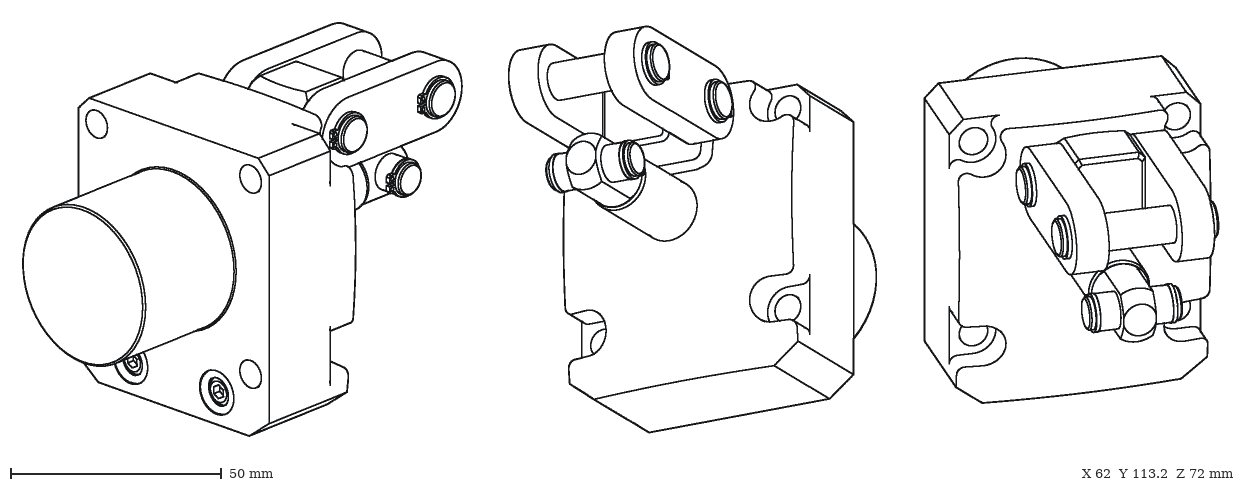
import cadquery as cq
import math


WIDTH = 62.0
TOP_Z = WIDTH / 2
BOTTOM_Z = -41.0
TOP_CHAMFER = 3.5
BOTTOM_CHAMFER_X = 6.5
BOTTOM_CHAMFER_Z = 5.0
DOME_TOP_Y = 34.0
DOME_FLAT_RADIUS = 12.5
DOME_RING_RADIUS = 25.5
DOME_RING_Y = 31.05
DOME_OUTER_ANGLE = 10.4
DOME_OUTER_RADIUS = 60.0

CYLINDER_RADIUS = 19.95
CYLINDER_LENGTH = 31.47
CYLINDER_CHAMFER = 0.5
ROOT_FLARE = 0.35

HOLE_OFFSET = 25.0
HOLE_DIAMETER = 7.0
POCKET_FLOOR_Y = 21.2
POCKET_RADIUS = 5.5
MOUTH_RADIUS = 2.0

PORT_X = 14.0
PORT_Z = -32.8
PORT_RECESS_DEPTH = 1.5
SEAL_OUTER_RADIUS = 5.55
SEAL_INNER_RADIUS = 3.55
SEAL_PROTRUSION = 0.35
PLUG_RADIUS = 2.65
PLUG_FACE_Y = 0.6
SOCKET_FLATS = 3.0
SOCKET_DEPTH = 2.0

LUG_WIDTH = 18.0
LUG_BOTTOM_Z = 11.15
LUG_END_Y = 51.4
LUG_EMBED = 9.0
LUG_SIDE_CHAMFER = 1.6
LUG_BOTTOM_RADIUS = 2.0
LUG_END_CHAMFER = 1.1
LUG_SLOPE_START_Y = 37.0
FLARE_HEIGHT = 1.4
FLARE_TILT = 11.0
FLARE_DEPTH = 3.5
FLARE_OUTER_RADIUS = 26.3

LINK_THICKNESS = 8.0
LINK_RADIUS = 9.0
LINK_Z = 22.02
LINK_FAR_PIN_Y = 72.75
LINK_PITCH = 30.5
LINK_PIN_YS = (LINK_FAR_PIN_Y - LINK_PITCH, LINK_FAR_PIN_Y)

PIN_RADIUS = 4.5
PIN_END_CHAMFER = 0.4
PIN_OVERHANG = 2.4
RING_THICKNESS = 1.0
RING_WALL = 0.65
EAR_LENGTH = 1.9
EAR_HEIGHT = 4.6
EAR_GAP = 0.8
EAR_CHAMFER = 0.5
EAR_HOLE_DIAMETER = 1.0

ROD_RADIUS = 7.5
ROD_SHOULDER_Y = 60.0
ROD_CHAMFER_LENGTH = 1.0
ROD_CHAMFER_DEPTH = 0.4
TONGUE_RADIUS = 7.0
TONGUE_THICKNESS = 8.0
TONGUE_END_Y = 76.95
TONGUE_CHAMFER = 2.9
TONGUE_ROOT_RADIUS = 0.8
ROD_PIN_Y = 70.0
ROD_PIN_END_RADIUS = 4.0
ROD_PIN_HALF_SPAN = LUG_WIDTH / 2


def facing_y(y, x=0.0, z=0.0):
    """Sketch plane at height y with local axes X and Z; negative extrusions run toward +Y."""
    return cq.Workplane("XZ", origin=(x, y, z))


def revolved(points):
    """Solid of revolution about the Y axis from (radius, y) points."""
    return cq.Workplane("XY").polyline(points).close().revolve(360, (0, 0, 0), (0, 1, 0))


def flange_block():
    half = WIDTH / 2
    foot = half - BOTTOM_CHAMFER_X
    outline = [
        (-foot, BOTTOM_Z),
        (foot, BOTTOM_Z),
        (half, BOTTOM_Z + BOTTOM_CHAMFER_Z),
        (half, TOP_Z - TOP_CHAMFER),
        (half - TOP_CHAMFER, TOP_Z),
        (-half + TOP_CHAMFER, TOP_Z),
        (-half, TOP_Z - TOP_CHAMFER),
        (-half, BOTTOM_Z + BOTTOM_CHAMFER_Z),
    ]
    block = facing_y(0).polyline(outline).close().extrude(-DOME_TOP_Y)
    drop = (DOME_OUTER_RADIUS - DOME_RING_RADIUS) * math.tan(math.radians(DOME_OUTER_ANGLE))
    dome = revolved([
        (0, 0),
        (DOME_OUTER_RADIUS, 0),
        (DOME_OUTER_RADIUS, DOME_RING_Y - drop),
        (DOME_RING_RADIUS, DOME_RING_Y),
        (DOME_FLAT_RADIUS, DOME_TOP_Y),
        (0, DOME_TOP_Y),
    ])
    return block.intersect(dome)


def lower_cylinder():
    return revolved([
        (0, 0),
        (CYLINDER_RADIUS + ROOT_FLARE, 0),
        (CYLINDER_RADIUS, -ROOT_FLARE),
        (CYLINDER_RADIUS, -CYLINDER_LENGTH + CYLINDER_CHAMFER),
        (CYLINDER_RADIUS - CYLINDER_CHAMFER, -CYLINDER_LENGTH),
        (0, -CYLINDER_LENGTH),
    ])


def mounting_holes():
    spots = [(x, z) for x in (-HOLE_OFFSET, HOLE_OFFSET) for z in (-HOLE_OFFSET, HOLE_OFFSET)]
    return facing_y(0).pushPoints(spots).circle(HOLE_DIAMETER / 2).extrude(-DOME_TOP_Y)


def side_pocket():
    """Lower pocket on the +X side: a slot open to the side with rounded mouth edges."""
    half = WIDTH / 2
    blend = MOUTH_RADIUS * (1 - math.sqrt(0.5))
    upper = -HOLE_OFFSET + POCKET_RADIUS
    lower = -HOLE_OFFSET - POCKET_RADIUS
    return (
        facing_y(POCKET_FLOOR_Y)
        .moveTo(half, upper + MOUTH_RADIUS)
        .threePointArc((half - blend, upper + blend), (half - MOUTH_RADIUS, upper))
        .lineTo(HOLE_OFFSET, upper)
        .threePointArc((HOLE_OFFSET - POCKET_RADIUS, -HOLE_OFFSET), (HOLE_OFFSET, lower))
        .lineTo(half - MOUTH_RADIUS, lower)
        .threePointArc((half - blend, lower - blend), (half, lower - MOUTH_RADIUS))
        .close()
        .extrude(-DOME_TOP_Y)
    )


def corner_pocket():
    """Upper pocket in the +X +Z corner: open on both faces, with rounded mouth edges.

    The outline is symmetric in X and Z because both outer faces lie half the width from the axis.
    """
    edge = WIDTH / 2
    reach = POCKET_RADIUS + MOUTH_RADIUS
    across = edge - MOUTH_RADIUS - HOLE_OFFSET
    down = math.sqrt(reach**2 - across**2)
    mouth_z = HOLE_OFFSET - down
    share = POCKET_RADIUS / reach
    tangent_x = HOLE_OFFSET + across * share
    tangent_z = HOLE_OFFSET - down * share
    middle = HOLE_OFFSET - POCKET_RADIUS * math.sqrt(0.5)
    turn = math.atan2(down, -across) / 2
    blend_x = edge - MOUTH_RADIUS + MOUTH_RADIUS * math.cos(turn)
    blend_z = mouth_z + MOUTH_RADIUS * math.sin(turn)
    return (
        facing_y(POCKET_FLOOR_Y)
        .moveTo(edge, mouth_z)
        .threePointArc((blend_x, blend_z), (tangent_x, tangent_z))
        .threePointArc((middle, middle), (tangent_z, tangent_x))
        .threePointArc((blend_z, blend_x), (mouth_z, edge))
        .lineTo(edge, edge)
        .close()
        .extrude(-DOME_TOP_Y)
    )


def lug():
    """Chamfered block on the dome with a 45 degree slope down to the dome at the top side."""
    base_y = DOME_TOP_Y - LUG_EMBED
    middle_z = (TOP_Z + LUG_BOTTOM_Z) / 2
    height = TOP_Z - LUG_BOTTOM_Z
    block = (
        facing_y(base_y, z=middle_z)
        .rect(LUG_WIDTH, height)
        .extrude(-(LUG_END_Y - base_y))
        .edges("|Y and >Z")
        .chamfer(LUG_SIDE_CHAMFER)
        .edges("|Y and <Z")
        .fillet(LUG_BOTTOM_RADIUS)
        .faces(">Y")
        .chamfer(LUG_END_CHAMFER)
    )
    slope = LUG_SLOPE_START_Y - base_y
    undercut = revolved([
        (TOP_Z - slope, base_y),
        (TOP_Z + slope, base_y),
        (TOP_Z + slope, LUG_SLOPE_START_Y + slope),
    ])
    return block.cut(undercut)


def lug_flare():
    """45 degree skirt around the lug foot, tilted along with the dome and ended by a round face."""
    tilt = math.radians(FLARE_TILT)
    plane = cq.Plane(
        origin=(0, DOME_TOP_Y + FLARE_HEIGHT, LUG_BOTTOM_Z),
        xDir=(1, 0, 0),
        normal=(0, -math.cos(tilt), -math.sin(tilt)),
    )
    half = LUG_WIDTH / 2
    length = FLARE_OUTER_RADIUS - LUG_BOTTOM_Z
    corner = LUG_BOTTOM_RADIUS
    blend = corner * (1 - math.sqrt(0.5))
    skirt = (
        cq.Workplane(plane)
        .moveTo(half, length)
        .lineTo(half, corner)
        .threePointArc((half - blend, blend), (half - corner, 0))
        .lineTo(-half + corner, 0)
        .threePointArc((-half + blend, blend), (-half, corner))
        .lineTo(-half, length)
        .close()
        .extrude(FLARE_DEPTH, taper=-45)
    )
    limit = facing_y(0).circle(FLARE_OUTER_RADIUS).extrude(-LUG_END_Y)
    return skirt.intersect(limit)


def link(side):
    """Link plate on the given side of the lug (-1 or 1)."""
    start_y, end_y = LINK_PIN_YS
    inner_x = side * LUG_WIDTH / 2
    return (
        cq.Workplane("YZ", origin=(inner_x, (start_y + end_y) / 2, LINK_Z))
        .slot2D(LINK_PITCH + 2 * LINK_RADIUS, 2 * LINK_RADIUS)
        .extrude(side * LINK_THICKNESS)
    )


def retaining_ring(start_x, y, z, pin_radius):
    """Ring around a pin with two ears toward -Y, each with a plier hole."""
    plane = cq.Workplane("YZ", origin=(start_x, y, z))
    ring = plane.circle(pin_radius + RING_WALL).extrude(RING_THICKNESS)
    reach = pin_radius + EAR_LENGTH
    ears = (
        plane.center(-reach / 2, 0)
        .rect(reach, EAR_HEIGHT)
        .extrude(RING_THICKNESS)
        .edges("|X and <Y")
        .chamfer(EAR_CHAMFER)
    )
    gap = plane.center(-reach, 0).rect(2 * EAR_LENGTH, EAR_GAP).extrude(RING_THICKNESS)
    hole_y = -pin_radius - EAR_LENGTH / 2
    hole_z = (EAR_HEIGHT + EAR_GAP) / 4
    holes = (
        plane.pushPoints([(hole_y, -hole_z), (hole_y, hole_z)])
        .circle(EAR_HOLE_DIAMETER / 2)
        .extrude(RING_THICKNESS)
    )
    return ring.union(ears).cut(gap).cut(holes)


def pin(y, z, half_span, end_radius):
    """Pin along X whose ends, outside half_span, have end_radius and carry a retaining ring each."""
    half_length = half_span + PIN_OVERHANG
    shaft = (
        cq.Workplane("YZ", origin=(-half_length, y, z))
        .circle(end_radius)
        .extrude(2 * half_length)
        .faces("<X or >X")
        .chamfer(PIN_END_CHAMFER)
    )
    middle = cq.Workplane("YZ", origin=(-half_span, y, z)).circle(PIN_RADIUS).extrude(2 * half_span)
    shaft = shaft.union(middle)
    for start_x in (-half_span - RING_THICKNESS, half_span):
        shaft = shaft.union(retaining_ring(start_x, y, z, end_radius))
    return shaft


def port_recess(x):
    return facing_y(0, x, PORT_Z).circle(SEAL_OUTER_RADIUS).extrude(-PORT_RECESS_DEPTH)


def port_fittings(x):
    """Seal ring standing proud of the flange, around a chamfered plug with a hexagon socket."""
    tube_radius = (SEAL_OUTER_RADIUS - SEAL_INNER_RADIUS) / 2
    ring_radius = (SEAL_OUTER_RADIUS + SEAL_INNER_RADIUS) / 2
    seal = cq.Workplane(
        cq.Solid.makeTorus(
            ring_radius,
            tube_radius,
            cq.Vector(x, tube_radius - SEAL_PROTRUSION, PORT_Z),
            cq.Vector(0, 1, 0),
        )
    )
    plug = (
        facing_y(PLUG_FACE_Y, x, PORT_Z)
        .circle(SEAL_INNER_RADIUS)
        .extrude(-(PORT_RECESS_DEPTH + tube_radius - PLUG_FACE_Y))
        .faces("<Y")
        .chamfer(PORT_RECESS_DEPTH - PLUG_FACE_Y, SEAL_INNER_RADIUS - PLUG_RADIUS)
    )
    return seal.union(plug)


def port_socket(x):
    across_corners = SOCKET_FLATS / math.cos(math.pi / 6)
    return (
        facing_y(PLUG_FACE_Y, x, PORT_Z)
        .transformed(rotate=(0, 0, 30))
        .polygon(6, across_corners)
        .extrude(-SOCKET_DEPTH)
    )


def housing_body():
    body = flange_block().cut(mounting_holes())
    for pocket in (side_pocket(), corner_pocket()):
        body = body.cut(pocket).cut(pocket.mirror("YZ"))
    body = body.union(lower_cylinder()).union(lug_flare()).union(lug())
    for x in (-PORT_X, PORT_X):
        body = body.cut(port_recess(x)).union(port_fittings(x)).cut(port_socket(x))
    for side in (-1, 1):
        body = body.union(link(side))
    for y in LINK_PIN_YS:
        body = body.union(pin(y, LINK_Z, LUG_WIDTH / 2 + LINK_THICKNESS, PIN_RADIUS))
    return body


def piston_rod():
    """Rod standing on the dome, flattened to a tongue that carries the clamp arm pin."""
    shaft = revolved([
        (0, DOME_TOP_Y),
        (ROD_RADIUS, DOME_TOP_Y),
        (ROD_RADIUS, ROD_SHOULDER_Y - ROD_CHAMFER_LENGTH),
        (ROD_RADIUS - ROD_CHAMFER_DEPTH, ROD_SHOULDER_Y),
        (TONGUE_RADIUS, ROD_SHOULDER_Y),
        (TONGUE_RADIUS, TONGUE_END_Y - TONGUE_CHAMFER),
        (TONGUE_RADIUS - TONGUE_CHAMFER, TONGUE_END_Y),
        (0, TONGUE_END_Y),
    ])
    cut_length = TONGUE_END_Y - ROD_SHOULDER_Y
    for side in (-1, 1):
        flat = (
            cq.Workplane("XY")
            .box(ROD_RADIUS, cut_length, 2 * ROD_RADIUS)
            .edges("|Z and <Y")
            .edges("<X" if side > 0 else ">X")
            .fillet(TONGUE_ROOT_RADIUS)
            .translate((
                side * (TONGUE_THICKNESS + ROD_RADIUS) / 2,
                ROD_SHOULDER_Y + cut_length / 2,
                0,
            ))
        )
        shaft = shaft.cut(flat)
    return shaft.union(pin(ROD_PIN_Y, 0, ROD_PIN_HALF_SPAN, ROD_PIN_END_RADIUS))


housing = housing_body()
rod = piston_rod()
result = cq.Compound.makeCompound([housing.val(), rod.val()])